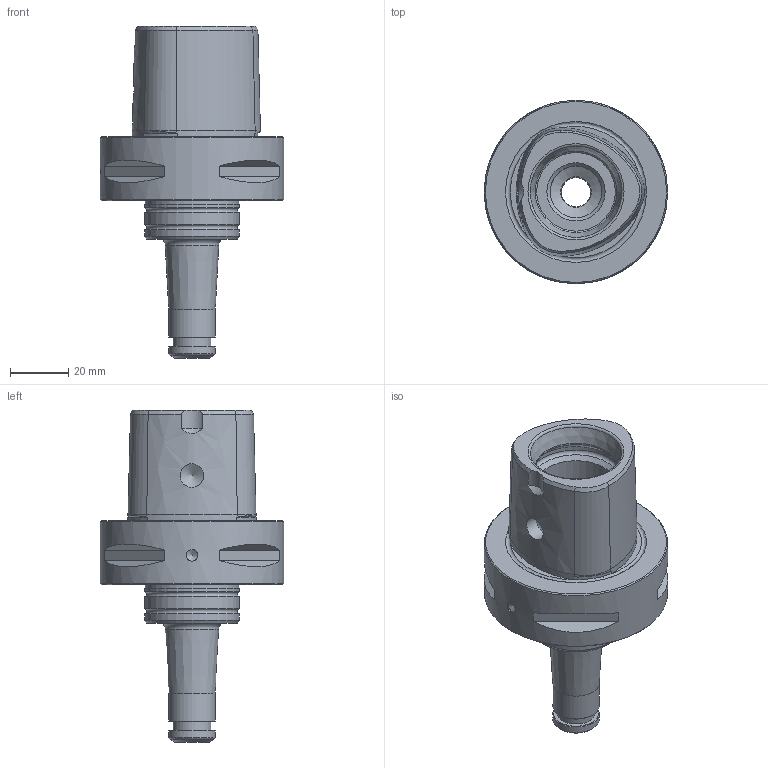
import cadquery as cq
import math


POLYGON_HEIGHT = 38.0
POLYGON_DIAMETER = 44.0
POLYGON_ECCENTRICITY = 1.5
TAPER_RATIO = 1 / 20
FOOT_HEIGHT = 2.2
TOP_CHAMFER_HEIGHT = 1.4
TOP_CHAMFER_WIDTH = 0.7
LOBE_HALF_ANGLE = 28
LOBE_COUNT = 3
LOBE_PITCH = 360 / LOBE_COUNT
CURVE_STEPS = 6

RELIEF_INNER_RADIUS = 22.55
RELIEF_OUTER_RADIUS = 24.2
RELIEF_DEPTH = 0.4
RELIEF_WALL_TOP = 1.2
POLYGON_CLEAR_RADIUS = 24.2

FLANGE_DIAMETER = 63.0
FLANGE_HEIGHT = 22.0
FLANGE_CHAMFER = 0.4

NOTCH_COUNT = 4
NOTCH_FLOOR_DISTANCE = 27.9
NOTCH_FLOOR_HEIGHT = 3.6
NOTCH_SIDE_ANGLE = 30
GRIP_Z = -11.9

NECK_DIAMETER = 32.5
NECK_RELIEF_DIAMETER = 32.0
NECK_RELIEF_END = -23.2
NECK_END = -35.2
NECK_CHAMFER = 1.0
NECK_CHAMFER_WIDTH = 0.6
SEAL_GROOVES = ((-24.4, -26.0), (-30.2, -32.0))
SEAL_GROOVE_DEPTH = 0.75

STEM_FILLET_HEIGHT = 2.1
STEM_FILLET_WIDTH = 1.5
STEM_ROOT_DIAMETER = 18.4
STEM_DIAMETER = 16.0
STEM_TAPER_END = -59.2
STEM_GROOVE_DIAMETER = 13.0
STEM_GROOVE_TOP = -69.0
STEM_GROOVE_BOTTOM = -72.0
STEM_END = -76.0
STEM_EDGE_CHAMFER = 0.2
TIP_BEVEL_TOP = -74.5
TIP_BEVEL_MIDDLE = -75.1
TIP_BEVEL_MIDDLE_RADIUS = 7.5
TIP_RADIUS = 6.1

MOUTH_RADIUS = 16.5
MOUTH_WALL_RADIUS = 15.7
LIP_RADIUS = 14.0
LIP_TOP = 31.6
LIP_LAND = 0.6
CLAMP_GROOVE_RADIUS = 16.0
CLAMP_GROOVE_TOP = 28.8
CLAMP_GROOVE_BOTTOM = 27.3
SEAT_RADIUS = 15.0
SEAT_TOP = 26.0
SEAT_BOTTOM = 24.6
MAIN_BORE_DIAMETER = 27.0
MAIN_BORE_FLOOR = 17.0
THREAD_MOUTH_DIAMETER = 20.0
THREAD_DIAMETER = 17.84
THREAD_END = -8.0
UPPER_PASSAGE_DIAMETER = 10.5
UPPER_PASSAGE_END = -50.0
DRILL_TIP_ANGLE = 118
PASSAGE_DIAMETER = 10.0

CROSS_HOLE_DIAMETER = 8.1
CROSS_HOLE_Z = 15.5
CROSS_HOLE_START = 15.4
MARK_DIAMETER = 4.0
MARK_START = 31.0
KEYWAY_DIAMETER = 10.5
KEYWAY_AXIS = 23.2
KEYWAY_END = 31.7
KEYWAY_TIP_ANGLE = 90

CLEARANCE = 10.0


def drill_tip(diameter, tip_angle=DRILL_TIP_ANGLE):
    """Height of the conical tip of a drill."""
    return diameter / 2 / math.tan(math.radians(tip_angle / 2))


def polygon_point(diameter, degrees):
    """Point on the three-lobed curve, one lobe pointing to +X."""
    a = math.radians(degrees)
    e = POLYGON_ECCENTRICITY
    x = diameter / 2 * math.cos(a) + 2 * e * math.cos(2 * a) - e * math.cos(4 * a)
    y = diameter / 2 * math.sin(a) - 2 * e * math.sin(2 * a) - e * math.sin(4 * a)
    return x, y


def polygon_wire(diameter, z):
    """Closed outline of alternating lobe and flank curves at height z."""
    edges = []
    for lobe in range(LOBE_COUNT):
        middle = lobe * LOBE_PITCH
        lobe_start = middle - LOBE_HALF_ANGLE
        lobe_end = middle + LOBE_HALF_ANGLE
        flank_end = lobe_start + LOBE_PITCH
        for start, end in ((lobe_start, lobe_end), (lobe_end, flank_end)):
            step = (end - start) / CURVE_STEPS
            points = []
            for i in range(CURVE_STEPS + 1):
                x, y = polygon_point(diameter, start + i * step)
                points.append(cq.Vector(x, y, z))
            edges.append(cq.Edge.makeSpline(points))
    return cq.Wire.assembleEdges(edges)


def polygon_section(bottom_diameter, bottom_z, top_diameter, top_z):
    """Solid between two polygon outlines of different size and height."""
    wires = [polygon_wire(bottom_diameter, bottom_z), polygon_wire(top_diameter, top_z)]
    return cq.Workplane(cq.Solid.makeLoft(wires, True))


def make_polygon_shank():
    """Foot band, taper and end chamfer of the polygonal shank."""
    taper_top = POLYGON_HEIGHT - TOP_CHAMFER_HEIGHT
    top_diameter = POLYGON_DIAMETER - TAPER_RATIO * (taper_top - FOOT_HEIGHT)
    face_diameter = top_diameter - 2 * TOP_CHAMFER_WIDTH
    foot = polygon_section(POLYGON_DIAMETER, -RELIEF_DEPTH, POLYGON_DIAMETER, FOOT_HEIGHT)
    taper = polygon_section(POLYGON_DIAMETER, FOOT_HEIGHT, top_diameter, taper_top)
    chamfer = polygon_section(top_diameter, taper_top, face_diameter, POLYGON_HEIGHT)
    return foot.union(taper).union(chamfer)


def make_flange():
    """Round flange with both rim edges chamfered."""
    flange = cq.Workplane("XY").circle(FLANGE_DIAMETER / 2).extrude(-FLANGE_HEIGHT)
    return flange.edges().chamfer(FLANGE_CHAMFER)


def make_neck_and_stem():
    """Turned body below the flange."""
    neck = NECK_DIAMETER / 2
    neck_relief = NECK_RELIEF_DIAMETER / 2
    root = STEM_ROOT_DIAMETER / 2
    stem = STEM_DIAMETER / 2
    groove = STEM_GROOVE_DIAMETER / 2
    fillet_end = NECK_END - STEM_FILLET_HEIGHT
    bulge = 1 - math.sqrt(0.5)
    fillet_middle = (root + STEM_FILLET_WIDTH * bulge, NECK_END - STEM_FILLET_HEIGHT * bulge)

    profile = cq.Workplane("XZ").moveTo(0, -FLANGE_HEIGHT).lineTo(neck_relief, -FLANGE_HEIGHT)
    profile = profile.lineTo(neck_relief, NECK_RELIEF_END).lineTo(neck, NECK_RELIEF_END)
    for top, bottom in SEAL_GROOVES:
        floor = (neck - SEAL_GROOVE_DEPTH, (top + bottom) / 2)
        profile = profile.lineTo(neck, top).threePointArc(floor, (neck, bottom))
    return (
        profile.lineTo(neck, NECK_END + NECK_CHAMFER)
        .lineTo(neck - NECK_CHAMFER_WIDTH, NECK_END)
        .lineTo(root + STEM_FILLET_WIDTH, NECK_END)
        .threePointArc(fillet_middle, (root, fillet_end))
        .lineTo(stem, STEM_TAPER_END)
        .lineTo(stem, STEM_GROOVE_TOP + STEM_EDGE_CHAMFER)
        .lineTo(stem - STEM_EDGE_CHAMFER, STEM_GROOVE_TOP)
        .lineTo(groove, STEM_GROOVE_TOP)
        .lineTo(groove, STEM_GROOVE_BOTTOM)
        .lineTo(stem - STEM_EDGE_CHAMFER, STEM_GROOVE_BOTTOM)
        .lineTo(stem, STEM_GROOVE_BOTTOM - STEM_EDGE_CHAMFER)
        .lineTo(stem, TIP_BEVEL_TOP)
        .lineTo(TIP_BEVEL_MIDDLE_RADIUS, TIP_BEVEL_MIDDLE)
        .lineTo(TIP_RADIUS, STEM_END)
        .lineTo(0, STEM_END)
        .close()
        .revolve(360, (0, 0, 0), (0, 1, 0))
    )


def make_relief_groove():
    """Groove sunk in the seating face, undercutting the three lobes."""
    floor_radius = (RELIEF_INNER_RADIUS + RELIEF_OUTER_RADIUS) / 2
    return (
        cq.Workplane("XZ")
        .moveTo(RELIEF_INNER_RADIUS, RELIEF_WALL_TOP)
        .lineTo(POLYGON_CLEAR_RADIUS, FOOT_HEIGHT)
        .lineTo(RELIEF_OUTER_RADIUS, 0)
        .threePointArc((floor_radius, -RELIEF_DEPTH), (RELIEF_INNER_RADIUS, 0))
        .close()
        .revolve(360, (0, 0, 0), (0, 1, 0))
    )


def make_bore():
    """Stepped bore running through the whole part."""
    main = MAIN_BORE_DIAMETER / 2
    thread = THREAD_DIAMETER / 2
    thread_mouth = THREAD_MOUTH_DIAMETER / 2
    upper_passage = UPPER_PASSAGE_DIAMETER / 2
    passage = PASSAGE_DIAMETER / 2
    mouth_depth = MOUTH_RADIUS - MOUTH_WALL_RADIUS
    thread_chamfer = thread_mouth - thread
    tip_height = drill_tip(THREAD_DIAMETER) - drill_tip(UPPER_PASSAGE_DIAMETER)
    bulge = 1 - math.sqrt(0.5)
    mouth_middle = (MOUTH_WALL_RADIUS + mouth_depth * bulge, POLYGON_HEIGHT - mouth_depth * bulge)
    return (
        cq.Workplane("XZ")
        .moveTo(0, POLYGON_HEIGHT)
        .lineTo(MOUTH_RADIUS, POLYGON_HEIGHT)
        .threePointArc(mouth_middle, (MOUTH_WALL_RADIUS, POLYGON_HEIGHT - mouth_depth))
        .lineTo(LIP_RADIUS, LIP_TOP)
        .lineTo(LIP_RADIUS, LIP_TOP - LIP_LAND)
        .lineTo(CLAMP_GROOVE_RADIUS, CLAMP_GROOVE_TOP)
        .lineTo(CLAMP_GROOVE_RADIUS, CLAMP_GROOVE_BOTTOM)
        .tangentArcPoint((SEAT_RADIUS, SEAT_TOP), relative=False)
        .lineTo(main, SEAT_BOTTOM)
        .lineTo(main, MAIN_BORE_FLOOR)
        .lineTo(thread_mouth, MAIN_BORE_FLOOR)
        .lineTo(thread, MAIN_BORE_FLOOR - thread_chamfer)
        .lineTo(thread, THREAD_END)
        .lineTo(upper_passage, THREAD_END - tip_height)
        .lineTo(upper_passage, UPPER_PASSAGE_END)
        .lineTo(passage, UPPER_PASSAGE_END)
        .lineTo(passage, STEM_END)
        .lineTo(0, STEM_END)
        .close()
        .revolve(360, (0, 0, 0), (0, 1, 0))
    )


def make_notch(angle):
    """Straight V-sided notch across the rim, facing the given direction."""
    outer = FLANGE_DIAMETER / 2 + CLEARANCE
    floor_half = NOTCH_FLOOR_HEIGHT / 2
    flare = (outer - NOTCH_FLOOR_DISTANCE) * math.tan(math.radians(NOTCH_SIDE_ANGLE))
    outer_half = floor_half + flare
    return (
        cq.Workplane("XZ")
        .moveTo(NOTCH_FLOOR_DISTANCE, GRIP_Z - floor_half)
        .lineTo(outer, GRIP_Z - outer_half)
        .lineTo(outer, GRIP_Z + outer_half)
        .lineTo(NOTCH_FLOOR_DISTANCE, GRIP_Z + floor_half)
        .close()
        .extrude(FLANGE_DIAMETER / 2, both=True)
        .rotate((0, 0, 0), (0, 0, 1), angle)
    )


def make_drill(diameter, length, tip_angle=DRILL_TIP_ANGLE):
    """Drill body with its full diameter ending at Z = 0 and its tip below."""
    radius = diameter / 2
    return (
        cq.Workplane("XZ")
        .moveTo(0, length)
        .lineTo(radius, length)
        .lineTo(radius, 0)
        .lineTo(0, -drill_tip(diameter, tip_angle))
        .close()
        .revolve(360, (0, 0, 0), (0, 1, 0))
    )


def make_radial_drill(diameter, start, z):
    """Drill entering from the -X side towards the axis."""
    drill = make_drill(diameter, CLEARANCE).rotate((0, 0, 0), (0, 1, 0), -90)
    return drill.translate((-start, 0, z))


result = make_flange().union(make_neck_and_stem()).union(make_polygon_shank())
result = result.cut(make_relief_groove()).cut(make_bore())
for index in range(NOTCH_COUNT):
    result = result.cut(make_notch((index + 0.5) * 360 / NOTCH_COUNT))
result = result.cut(make_radial_drill(CROSS_HOLE_DIAMETER, CROSS_HOLE_START, CROSS_HOLE_Z))
result = result.cut(make_radial_drill(MARK_DIAMETER, MARK_START, GRIP_Z))
keyway = make_drill(KEYWAY_DIAMETER, POLYGON_HEIGHT - KEYWAY_END, KEYWAY_TIP_ANGLE)
result = result.cut(keyway.translate((-KEYWAY_AXIS, 0, KEYWAY_END)))